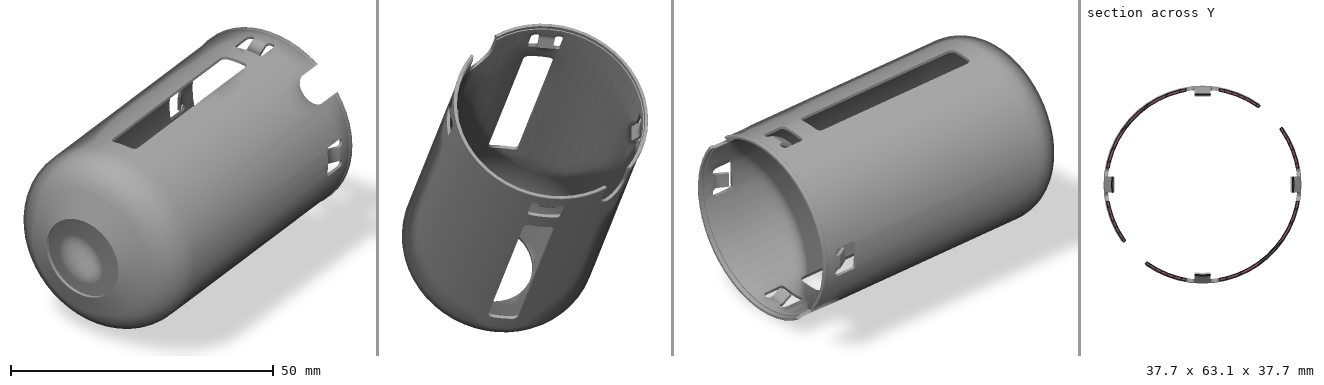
import cadquery as cq
import math

length = 63.1
outer_diameter = 37.3
inner_diameter = 36.1
outer_radius = outer_diameter / 2
inner_radius = inner_diameter / 2
wall = outer_radius - inner_radius

nose_hole_diameter = 16.6
cone_angle = math.radians(23)
shoulder_radius = 8.0

rim_diameter = 37.7
rim_bore_diameter = rim_diameter - 2 * wall
rim_width = 0.95
rim_edge_radius = 0.16

window_width = 5.8
window_length = 37.85
window_depth = 11.9
window_corner = 1.0

clip_width = 6.3
clip_depth = 3.0
clip_end_depth = 7.95
clip_corner = 0.6
tab_width = 3.0
tab_root_depth = 3.7
tab_tip_depth = 6.4
tab_angle = math.radians(30)
tab_bend_radius = 1.2
clip_leg_width = (clip_width - tab_width) / 2

notch_width = 6.45
notch_depth = 8.0
notch_angles = (45, 225)

cut_height = 2 * outer_radius
seam_angle = 20


def around_axis(shape, angle):
    """Turn a +Z feature about the Y axis; positive angles go toward +X."""
    return shape.rotate((0, 0, 0), (0, 1, 0), angle)


def make_shell():
    """Revolve the constant-thickness wall around the Y axis."""
    hole_radius = nose_hole_diameter / 2
    centre_radius = outer_radius - shoulder_radius
    tangent_radius = centre_radius + shoulder_radius * math.sin(cone_angle)
    cone_length = (tangent_radius - hole_radius) * math.tan(cone_angle)
    centre_y = cone_length + shoulder_radius * math.cos(cone_angle)
    mid_angle = (math.pi / 2 + cone_angle) / 2

    def shoulder_point(radius, angle):
        return (centre_radius + radius * math.sin(angle), centre_y - radius * math.cos(angle))

    inner_shoulder = shoulder_radius - wall
    profile = (
        cq.Workplane("XY")
        .moveTo(hole_radius, 0)
        .lineTo(*shoulder_point(shoulder_radius, cone_angle))
        .threePointArc(shoulder_point(shoulder_radius, mid_angle), (outer_radius, centre_y))
        .lineTo(outer_radius, length)
        .lineTo(inner_radius, length)
        .lineTo(inner_radius, centre_y)
        .threePointArc(
            shoulder_point(inner_shoulder, mid_angle), shoulder_point(inner_shoulder, cone_angle)
        )
        .lineTo(hole_radius, wall / math.cos(cone_angle))
        .close()
    )
    return around_axis(profile.revolve(360, (0, 0, 0), (0, 1, 0)), seam_angle)


def make_rim():
    """Disc (not yet bored) that stands slightly proud of the wall, with rounded outer edges."""
    rim_radius = rim_diameter / 2
    disc = (
        cq.Workplane("XZ", origin=(0, length, 0))
        .circle(rim_radius)
        .extrude(rim_width)
        .edges()
        .fillet(rim_edge_radius)
    )
    return around_axis(disc, seam_angle)


def make_rim_bore():
    """Shallow step that keeps the wall thickness constant behind the rim."""
    bore = cq.Workplane("XZ", origin=(0, length, 0)).circle(rim_bore_diameter / 2).extrude(rim_width)
    return around_axis(bore, seam_angle)


def radial_box(width, start_depth, end_depth):
    """Block from the axis out through the +Z wall, between two depths below the open end."""
    size = end_depth - start_depth
    return (
        cq.Workplane("XY", origin=(0, length - start_depth - size / 2, 0))
        .rect(width, size)
        .extrude(cut_height)
    )


def make_window():
    window = radial_box(window_width, window_depth, window_depth + window_length)
    return window.edges("|Z").fillet(window_corner)


def make_clip_opening():
    """U-shaped cutter: two round-ended legs joined below the tab tip."""
    half_leg = clip_leg_width / 2
    opening = radial_box(clip_width, clip_depth + half_leg, clip_end_depth)
    opening = opening.edges("|Z and <Y").fillet(clip_corner)
    opening = opening.cut(radial_box(tab_width, clip_depth, tab_tip_depth))
    for side in (-1, 1):
        leg_end = (
            cq.Workplane("XY")
            .center(side * (tab_width + clip_leg_width) / 2, length - clip_depth - half_leg)
            .circle(half_leg)
            .extrude(cut_height)
        )
        opening = opening.union(leg_end)
    return opening.union(radial_box(tab_width, tab_root_depth, clip_end_depth))


def make_tab():
    """Strip of the +Z wall: bends inward at its root, then runs straight to its tip."""
    root_y = length - tab_root_depth
    attach_y = length - clip_depth
    bend_centre_z = outer_radius - tab_bend_radius
    inner_bend = tab_bend_radius - wall

    def bend_point(radius, angle):
        return (root_y - radius * math.sin(angle), bend_centre_z + radius * math.cos(angle))

    bend_end = bend_point(tab_bend_radius, tab_angle)
    straight_run = bend_end[0] - (length - tab_tip_depth)
    tip_drop = straight_run * math.tan(tab_angle)
    tip = (length - tab_tip_depth, bend_end[1] - tip_drop)
    inner_tip = (tip[0] + wall * math.sin(tab_angle), tip[1] - wall * math.cos(tab_angle))
    ring = (
        cq.Workplane("YZ")
        .moveTo(attach_y, outer_radius)
        .lineTo(root_y, outer_radius)
        .threePointArc(bend_point(tab_bend_radius, tab_angle / 2), bend_end)
        .lineTo(*tip)
        .lineTo(*inner_tip)
        .lineTo(*bend_point(inner_bend, tab_angle))
        .threePointArc(bend_point(inner_bend, tab_angle / 2), (root_y, inner_radius))
        .lineTo(attach_y, inner_radius)
        .close()
        .revolve(360, (0, 0, 0), (1, 0, 0))
    )
    ring = around_axis(ring, seam_angle)
    return ring.intersect(radial_box(tab_width, 0, clip_end_depth))


def make_notch():
    half_width = notch_width / 2
    straight = radial_box(notch_width, 0, notch_depth - half_width)
    round_end = (
        cq.Workplane("XY")
        .center(0, length - notch_depth + half_width)
        .circle(half_width)
        .extrude(cut_height)
    )
    return straight.union(round_end)


result = make_shell().union(make_rim().cut(make_rim_bore())).cut(make_rim_bore())

for window_angle in (0, 180):
    result = result.cut(around_axis(make_window(), window_angle))

for clip_angle in (0, 90, 180, 270):
    result = result.cut(around_axis(make_clip_opening(), clip_angle))
    result = result.union(around_axis(make_tab(), clip_angle))

for notch_angle in notch_angles:
    result = result.cut(around_axis(make_notch(), notch_angle))